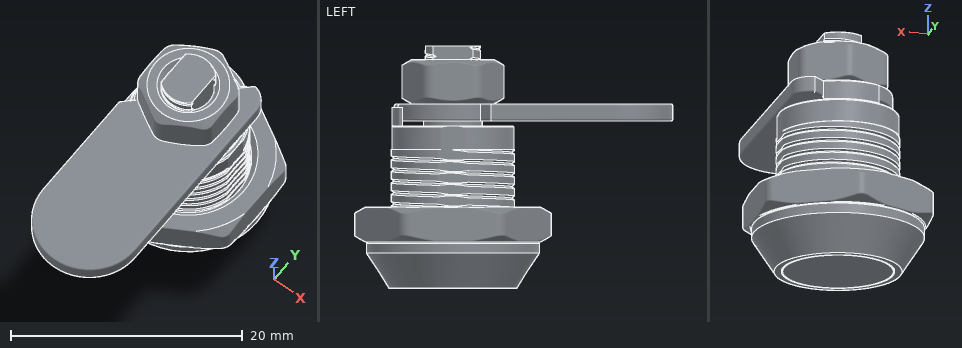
import cadquery as cq
import math

flange_bottom = 3.02
flange_top = 3.98
housing_top = 14.0
cam_bottom = 14.4
cam_top = 15.9
stop_top = 15.6
shaft_top = 20.9

face_radius = 5.52
flange_radius = 7.47
edge_break = 0.1
thread_radius = 5.33
plain_radius = 5.27
thread_end = 11.97
bore_radius = 4.89
barrel_flats = 10.32
thread_pitch = 1.0
thread_depth = 0.25
thread_gap = 0.35
thread_turns = 7

stop_half_angle = 29.0

rotor_radius = 4.78
neck_radius = 2.54
shaft_radius = 2.4
shaft_flats = 3.32
shaft_groove_top = 20.85
shaft_groove_depth = 0.16
shaft_groove_gap = 0.27
shaft_turns = 3

cam_width = 10.0
cam_tip_y = -18.97
cam_hub_radius = 4.72
cam_corner_y = 5.08
cam_corner_radius = 1.92
cam_edge = 0.2
recess_direction = 135.0
recess_offset = 1.2

big_nut_flats = 15.0
big_nut_height = 3.02
big_nut_bore = 5.45
big_nut_mouth = 5.998
big_nut_face = 7.58
small_nut_flats = 7.93
small_nut_height = 3.82
small_nut_bore = 2.22
small_nut_mouth = 2.705
small_nut_face = 3.57
nut_corner_radius = 1.1
nut_chamfer_angle = 30.0
nut_edge_round = 0.15


def cylinder(radius, bottom, top):
    return cq.Workplane("XY").workplane(offset=bottom).circle(radius).extrude(top - bottom)


def flat_sided(width, bottom, top):
    """Slab between two flats facing -X and +X, long enough in Y to pass any round part."""
    return (
        cq.Workplane("XY").workplane(offset=bottom)
        .rect(width, 4 * flange_radius)
        .extrude(top - bottom)
    )


def helical_groove(radius, depth, gap, turns, top):
    """Left-hand V groove that starts at -X at height `top` and runs down from there."""
    overlap = 0.05
    half_mouth = gap / 2 * (1 + overlap / depth)
    path = cq.Wire.makeHelix(thread_pitch, thread_pitch * turns, radius, lefthand=True)
    profile = (
        cq.Workplane("XZ")
        .moveTo(radius - depth, 0)
        .lineTo(radius + overlap, half_mouth)
        .lineTo(radius + overlap, -half_mouth)
        .close()
    )
    groove = profile.sweep(cq.Workplane(path), isFrenet=True)
    return groove.rotate((0, 0, 0), (0, 0, 1), 180).translate((0, 0, top - thread_pitch * turns))


def make_stop():
    """Curved wall on the housing rim with fully rounded ends, centred on the +Y side."""
    wall = plain_radius - bore_radius
    middle = (plain_radius + bore_radius) / 2
    end_angle = math.radians(stop_half_angle) - wall / 2 / middle
    end_x = middle * math.sin(end_angle)
    end_y = middle * math.cos(end_angle)
    return (
        cq.Workplane("XY").workplane(offset=housing_top)
        .moveTo(-end_x, end_y)
        .threePointArc((0, middle), (end_x, end_y))
        .offset2D(wall / 2)
        .extrude(stop_top - housing_top)
    )


def make_housing():
    """Conical head and flange, threaded barrel with two flats, through bore and stop wall."""
    head = (
        cq.Workplane("XZ")
        .lineTo(face_radius, 0)
        .lineTo(flange_radius, flange_bottom)
        .lineTo(flange_radius, flange_top - edge_break)
        .lineTo(flange_radius - edge_break, flange_top)
        .lineTo(0, flange_top)
        .close()
        .revolve(360, (0, 0), (0, 1))
    )
    thread_groove = helical_groove(thread_radius, thread_depth, thread_gap, thread_turns, thread_end)
    collar = cylinder(plain_radius, thread_end, housing_top).faces(">Z").edges().chamfer(edge_break)
    barrel = (
        cylinder(thread_radius, flange_top, thread_end)
        .cut(thread_groove)
        .union(collar)
        .intersect(flat_sided(barrel_flats, flange_top, housing_top))
    )
    bore = cylinder(bore_radius, 0, housing_top)
    return head.union(barrel).cut(bore).union(make_stop())


def make_rotor_blank():
    """Rotor before its thread is cut: barrel, neck and a shaft with two flats."""
    shaft = cylinder(shaft_radius, cam_bottom, shaft_top)
    shaft = shaft.intersect(flat_sided(shaft_flats, cam_bottom, shaft_top))
    return (
        cylinder(rotor_radius, 0, housing_top)
        .union(cylinder(neck_radius, housing_top, cam_bottom))
        .union(shaft)
    )


def make_cam(rotor):
    """Flat arm with a round tip, relieved around its hub to clear the rotation stop."""
    half = cam_width / 2
    thickness = cam_top - cam_bottom
    arm = (
        cq.Workplane("XY").workplane(offset=cam_bottom)
        .moveTo(-half, cam_corner_y)
        .lineTo(-half, cam_tip_y + half)
        .threePointArc((0, cam_tip_y), (half, cam_tip_y + half))
        .lineTo(half, cam_corner_y - cam_corner_radius)
        .radiusArc((half - cam_corner_radius, cam_corner_y), -cam_corner_radius)
        .close()
        .extrude(thickness)
    )
    recess = (
        cq.Workplane("XY").workplane(offset=cam_bottom)
        .center(recess_offset + flange_radius, 0)
        .rect(2 * flange_radius, 4 * flange_radius)
        .extrude(thickness)
        .rotate((0, 0, 0), (0, 0, 1), recess_direction)
        .cut(cylinder(cam_hub_radius, cam_bottom, cam_top))
    )
    return arm.cut(recess).faces("<Z or >Z").edges().fillet(cam_edge).cut(rotor)


def make_nut(flats, height, bore, mouth, face):
    """Hex nut standing on z = 0 with two flats facing -X and +X."""
    corner_circle = flats / math.cos(math.radians(30))
    corner = corner_circle / 2
    drop = (corner - face) * math.tan(math.radians(nut_chamfer_angle))
    envelope = (
        cq.Workplane("XZ")
        .lineTo(face, 0)
        .lineTo(corner, drop)
        .lineTo(corner, height - drop)
        .lineTo(face, height)
        .lineTo(0, height)
        .close()
        .revolve(360, (0, 0), (0, 1))
    )
    hexagon = (
        cq.Workplane("XY")
        .polygon(6, corner_circle)
        .extrude(height)
        .rotate((0, 0, 0), (0, 0, 1), 30)
        .edges("|Z").fillet(nut_corner_radius)
    )
    rim = mouth - bore
    hole = (
        cq.Workplane("XZ")
        .lineTo(mouth, 0)
        .lineTo(bore, rim)
        .lineTo(bore, height - rim)
        .lineTo(mouth, height)
        .lineTo(0, height)
        .close()
        .revolve(360, (0, 0), (0, 1))
    )
    blank = hexagon.intersect(envelope)
    blank = blank.faces("#Z").edges("not |Z").fillet(nut_edge_round)
    return blank.cut(hole)


housing = make_housing()

rotor_blank = make_rotor_blank()
rotor = rotor_blank.cut(
    helical_groove(shaft_radius, shaft_groove_depth, shaft_groove_gap, shaft_turns, shaft_groove_top)
)

cam = make_cam(rotor_blank)

big_nut = make_nut(big_nut_flats, big_nut_height, big_nut_bore, big_nut_mouth, big_nut_face)
big_nut = big_nut.translate((0, 0, flange_top))

small_nut = make_nut(small_nut_flats, small_nut_height, small_nut_bore, small_nut_mouth, small_nut_face)
small_nut = small_nut.translate((0, 0, cam_top)).cut(rotor_blank)

result = cq.Compound.makeCompound(
    [housing.val(), rotor.val(), cam.val(), big_nut.val(), small_nut.val()]
)